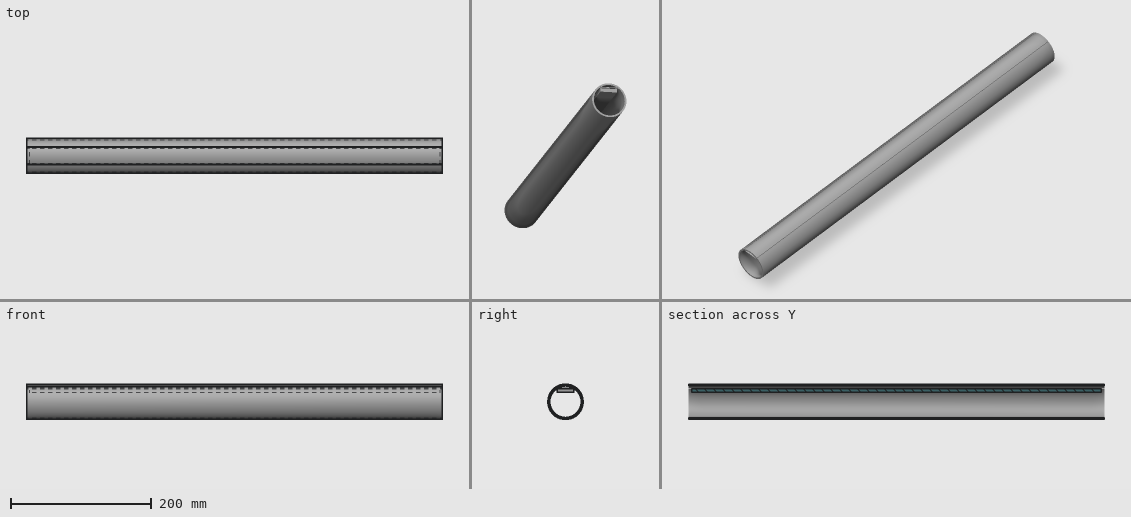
import cadquery as cq
import math

length = 592.0
outer_radius = 25.0
wall = 2.5
inner_radius = outer_radius - wall
mouth_half_width = 12.5

joint_gap = 0.5
cover_half_width = mouth_half_width - joint_gap
floor_top = 19.2
floor_thickness = 1.0
floor_bottom = floor_top - floor_thickness
void_half_width = 10.5

bar_bottom = 13.2
bar_inset = 4.0


def height_on(radius, y):
    """Height of a circle about the tube axis at the sideways distance y."""
    return math.sqrt(radius**2 - y**2)


def arched_prism(half_width, base, radius):
    """Full-length prism with a flat base, upright sides and a top that is an arc about the tube axis."""
    side_top = height_on(radius, half_width)
    return (
        cq.Workplane("YZ")
        .moveTo(-half_width, base)
        .lineTo(half_width, base)
        .lineTo(half_width, side_top)
        .threePointArc((0, radius), (-half_width, side_top))
        .close()
        .extrude(length)
    )


def make_tube():
    """Round tube with a slot along its top."""
    ring = cq.Workplane("YZ").circle(outer_radius).circle(inner_radius).extrude(length)
    mouth = cq.Workplane("XY").box(
        length, 2 * mouth_half_width, outer_radius, centered=(False, True, False)
    )
    return ring.cut(mouth)


def make_cover():
    """Hollow strip that fills the slot, with a bar under its floor that stops short of both ends."""
    shell = arched_prism(cover_half_width, floor_bottom, outer_radius)
    void = arched_prism(void_half_width, floor_top, inner_radius)
    bar = (
        cq.Workplane("XY")
        .box(
            length - 2 * bar_inset,
            2 * cover_half_width,
            floor_bottom - bar_bottom,
            centered=(False, True, False),
        )
        .translate((bar_inset, 0, bar_bottom))
    )
    return shell.cut(void).union(bar)


tube = make_tube()
cover = make_cover()

result = cq.Compound.makeCompound([tube.val(), cover.val()])